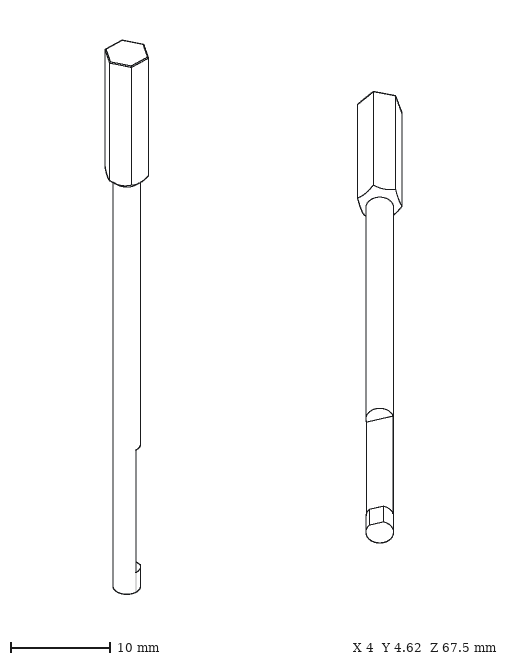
import cadquery as cq
import math

total_length = 67.5

shank_diameter = 2.8
shank_radius = shank_diameter / 2

hex_across_flats = 4.0
hex_across_corners = hex_across_flats / math.cos(math.pi / 6)
hex_edge_length = 15.0
hex_turn = 30.0
top_chamfer = 0.1

cone_angle = math.radians(45)
cone_height = (hex_across_corners / 2 - shank_radius) * math.tan(cone_angle)
head_length = hex_edge_length + cone_height
shank_length = total_length - head_length

hook_height = 2.5
hook_reach = 1.2
notch_top = 18.0


def make_head():
    """Hexagonal bar with a chamfered top and a conical lower end that meets the shank."""
    bar = (
        cq.Workplane("XY", origin=(0, 0, shank_length))
        .polygon(6, hex_across_corners)
        .extrude(head_length)
        .rotate((0, 0, 0), (0, 0, 1), hex_turn)
        .faces(">Z")
        .chamfer(top_chamfer)
    )
    envelope_radius = hex_across_corners
    taper_height = (envelope_radius - shank_radius) * math.tan(cone_angle)
    envelope = (
        cq.Workplane("XZ")
        .moveTo(0, shank_length)
        .lineTo(shank_radius, shank_length)
        .lineTo(envelope_radius, shank_length + taper_height)
        .lineTo(envelope_radius, total_length)
        .lineTo(0, total_length)
        .close()
        .revolve(360, (0, 0, 0), (0, 1, 0))
    )
    return bar.intersect(envelope)


def make_cutting_block(y_start, z_bottom, z_top):
    """Block covering everything on the shank beyond y_start, between two heights."""
    return (
        cq.Workplane("XY", origin=(0, y_start, z_bottom))
        .box(shank_diameter, shank_diameter, z_top - z_bottom, centered=(True, False, False))
    )


def make_shank():
    """Round rod with the notch cut to its axis and the hook at the tip trimmed flat."""
    rod = cq.Workplane("XY").circle(shank_radius).extrude(shank_length)
    notch = make_cutting_block(0, hook_height, notch_top)
    hook_trim = make_cutting_block(hook_reach, 0, hook_height)
    return rod.cut(notch).cut(hook_trim)


result = make_head().union(make_shank())